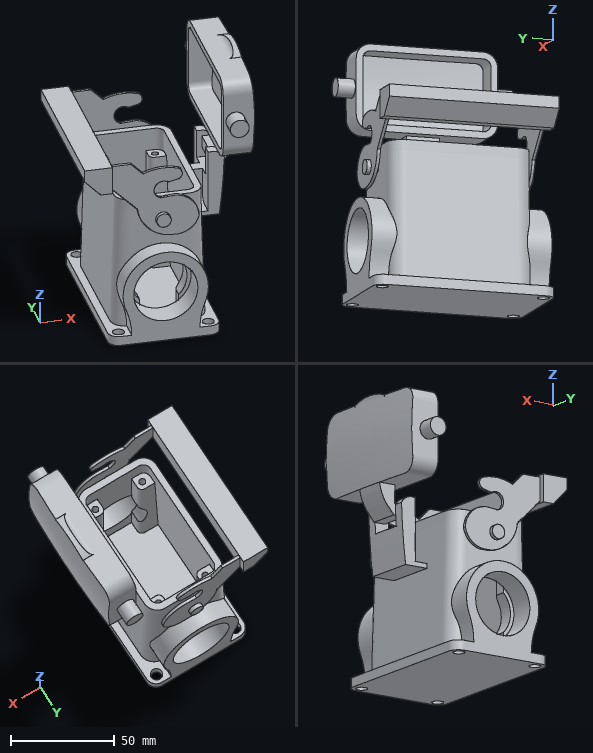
import cadquery as cq
import math

plate_x = 55.7
plate_y = 92.5
plate_height = 5.0
plate_corner = 5.4
mount_hole_dia = 5.8
mount_hole_x = 22.5
mount_hole_y = 41.3

shell_y = 72.7
shell_top_x = 43.5
shell_foot_x = 47.4
shell_corner = 7.5
shell_top_z = 74.0
collar_z = 68.5
wall = 3.6
cavity_floor_z = 1.6

post_inner_x = 9.8
post_inner_y = 24.9
post_top_z = 62.3
post_edge_radius = 2.7
screw_hole_dia = 3.2
screw_hole_depth = 13.5
screw_x = 13.5
screw_y = 28.7

entry_z = 26.9
entry_radius = 21.4
entry_bore_radius = 16.0
post_bore_radius = 14.0
neck_half_width = 17.1

bracket_y = 28.0
bracket_bottom_z = 48.3
bracket_shelf_thickness = 2.4
rib_thickness = 6.2
rib_fillet = 4.0
fork_front_x = 29.2
fork_top_z = 83.0
fork_gap = 17.5
fork_bottom_x = 35.0
fork_back_bulge = (36.6, 64.0)
fork_shoulder_z = 79.3
fork_shoulder_mid = (35.4, 81.7)
fork_crest_x = 32.0

cheek_inner_y = 38.9
cheek_thickness = 1.6
handle_back_x = -26.0
handle_front_x = -40.0
handle_top_z = 96.9
handle_bottom_z = 82.6
handle_length = 87.2
pivot_z = 63.9
pivot_shaft_radius = 2.5
pivot_head_radius = 3.6
pivot_head_height = 2.2
handle_chamfer_x = -32.0
handle_chamfer_z = 90.8

arm_top_start = (handle_back_x, 95.8)
arm_top_end = (-16.0, 95.8)
finger_root = (-10.0, 89.8)
finger_back = (-0.7, 91.8)
finger_shoulder = (7.7, 90.7)
finger_tip = (9.7, 87.9)
finger_underside = (8.1, 84.9)
notch_mouth = (2.7, 83.7)
notch_floor = (-4.5, 80.0)
notch_end = (-1.1, 75.5)
lobe_top = (6.0, 76.0)
lobe_upper_side = (14.0, 72.7)
lobe_back = (18.2, 64.0)
lobe_lower_side = (14.3, 57.3)
lobe_bottom = (6.0, 54.6)
lobe_lower_front = (-5.7, 58.1)
lobe_front = (-12.4, 68.6)
arm_bottom_end = (-12.6, 70.4)
arm_bottom_start = (handle_back_x, 83.5)

cover_front_x = 31.2
cover_crown_x = 48.0
cover_y = 72.7
cover_bottom_z = 89.2
cover_top_z = 132.3
cover_corner = 7.5
cover_wall = 3.5
crown_rise_z = 1.5
crown_rise_y = 1.1
sweep_margin = 1.0
cover_pin_radius = 4.7
cover_pin_x = 37.3
cover_pin_span = 90.2
grip_top_z = 134.5
grip_front_x = 40.6
grip_crest_x = 43.9
grip_back_x = 46.5
grip_half_length = 12.5
grip_scoop_mid = (42.7, 133.1)
tongue_front_x = 37.4
tongue_bottom_z = 74.0
tongue_width = 16.8
tongue_tip_x = 38.1
tongue_bend = (42.7, 79.3)
tongue_back_mid = (45.2, 84.1)
knuckle_front_x = 31.8
knuckle_top_z = 80.0

cover_mid_z = (cover_bottom_z + cover_top_z) / 2
cover_height = cover_top_z - cover_bottom_z


def box(x0, x1, y0, y1, z0, z1):
    """Axis-aligned block between two opposite corners."""
    return cq.Workplane("XY").box(x1 - x0, y1 - y0, z1 - z0, centered=False).translate((x0, y0, z0))


def y_cylinder(x, z, radius, y0, y1):
    """Round bar along Y."""
    return cq.Workplane("XZ", origin=(0, y0, 0)).center(x, z).circle(radius).extrude(y0 - y1)


def rounded_rectangle(size_x, size_y, radius):
    return cq.Sketch().rect(size_x, size_y).vertices().fillet(radius)


def arc_radius(half_chord, rise):
    return (half_chord ** 2 + rise ** 2) / (2 * rise)


def shell_block(inset, bottom_z):
    """Housing outline moved inward by inset, from bottom_z up to the rim."""
    taper = (shell_foot_x - shell_top_x) / (collar_z - plate_height)
    half_top = shell_top_x / 2 - inset
    half_bottom = half_top + taper * (collar_z - bottom_z) / 2
    half_y = shell_y / 2 - inset
    return (
        cq.Workplane("XZ", origin=(0, half_y, 0))
        .moveTo(-half_bottom, bottom_z)
        .lineTo(half_bottom, bottom_z)
        .lineTo(half_top, collar_z)
        .lineTo(half_top, shell_top_z)
        .lineTo(-half_top, shell_top_z)
        .lineTo(-half_top, collar_z)
        .close()
        .extrude(2 * half_y)
        .edges("not(|X or |Y)").fillet(shell_corner - inset)
    )


def base_plate():
    plate = cq.Workplane("XY").placeSketch(rounded_rectangle(plate_x, plate_y, plate_corner)).extrude(plate_height)
    return (
        plate.faces(">Z").workplane()
        .rect(2 * mount_hole_x, 2 * mount_hole_y, forConstruction=True).vertices()
        .hole(mount_hole_dia)
    )


def entry_boss():
    """Round boss on a neck that flares in to the plate, running the full length of the plate."""
    fillet_z = plate_height
    rise = entry_z - fillet_z
    overhang = entry_radius - neck_half_width
    neck_fillet = (rise ** 2 + neck_half_width ** 2 - entry_radius ** 2) / (2 * overhang)
    fillet_x = neck_half_width + neck_fillet
    reach = entry_radius + neck_fillet
    share = entry_radius / reach
    touch_x = fillet_x * share
    touch_z = entry_z + (fillet_z - entry_z) * share
    half_angle = math.atan2(touch_z - fillet_z, fillet_x - touch_x) / 2
    mid_x = fillet_x - neck_fillet * math.cos(half_angle)
    mid_z = fillet_z + neck_fillet * math.sin(half_angle)
    return (
        cq.Workplane("XZ", origin=(0, plate_y / 2, 0))
        .moveTo(-neck_half_width, 0)
        .lineTo(-neck_half_width, fillet_z)
        .threePointArc((-mid_x, mid_z), (-touch_x, touch_z))
        .threePointArc((0, entry_z + entry_radius), (touch_x, touch_z))
        .threePointArc((mid_x, mid_z), (neck_half_width, fillet_z))
        .lineTo(neck_half_width, 0)
        .close()
        .extrude(plate_y)
    )


def screw_posts(cavity):
    """Four screw posts filling the cavity corners."""
    blank = box(
        post_inner_x, shell_foot_x / 2, post_inner_y, shell_y / 2, cavity_floor_z, post_top_z
    ).edges("|Z and <X and <Y").fillet(post_edge_radius)
    hole = (
        cq.Workplane("XY", origin=(screw_x, screw_y, post_top_z))
        .circle(screw_hole_dia / 2).extrude(-screw_hole_depth)
    )
    corner = blank.cut(hole)
    pair = corner.union(corner.mirror("YZ"))
    posts = pair.union(pair.mirror("XZ")).intersect(cavity)
    return posts.cut(y_cylinder(0, entry_z, post_bore_radius, -plate_y / 2, plate_y / 2))


def hinge_bracket():
    """Shelf with a filleted centre rib, carrying a fork for the cover hinge."""
    shelf_top_z = bracket_bottom_z + bracket_shelf_thickness
    half_rib = rib_thickness / 2
    fillet_end = half_rib + rib_fillet
    fillet_top_z = shelf_top_z + rib_fillet
    bend = rib_fillet * (1 - math.sqrt(0.5))
    arm = (
        cq.Workplane("YZ")
        .moveTo(-bracket_y / 2, bracket_bottom_z)
        .lineTo(bracket_y / 2, bracket_bottom_z)
        .lineTo(bracket_y / 2, shelf_top_z)
        .lineTo(fillet_end, shelf_top_z)
        .threePointArc((half_rib + bend, shelf_top_z + bend), (half_rib, fillet_top_z))
        .lineTo(half_rib, collar_z)
        .lineTo(-half_rib, collar_z)
        .lineTo(-half_rib, fillet_top_z)
        .threePointArc((-half_rib - bend, shelf_top_z + bend), (-fillet_end, shelf_top_z))
        .lineTo(-bracket_y / 2, shelf_top_z)
        .close()
        .extrude(fork_front_x)
    )
    fork = (
        cq.Workplane("XZ", origin=(0, bracket_y / 2, 0))
        .moveTo(fork_front_x, bracket_bottom_z)
        .lineTo(fork_bottom_x, bracket_bottom_z)
        .threePointArc(fork_back_bulge, (tongue_front_x, fork_shoulder_z))
        .threePointArc(fork_shoulder_mid, (fork_crest_x, fork_top_z))
        .lineTo(fork_front_x, fork_top_z)
        .close()
        .extrude(bracket_y)
    )
    gap = box(fork_front_x, tongue_front_x, -fork_gap / 2, fork_gap / 2, collar_z, fork_top_z)
    return arm.union(fork.cut(gap))


def lever_cheek():
    """Side plate of the lever on the +Y side, with its hooked notch."""
    return (
        cq.Workplane("XZ", origin=(0, cheek_inner_y + cheek_thickness, 0))
        .moveTo(*arm_top_start)
        .lineTo(*arm_top_end)
        .lineTo(*finger_root)
        .threePointArc(finger_back, finger_shoulder)
        .threePointArc(finger_tip, finger_underside)
        .lineTo(*notch_mouth)
        .threePointArc(notch_floor, notch_end)
        .lineTo(*lobe_top)
        .threePointArc(lobe_upper_side, lobe_back)
        .threePointArc(lobe_lower_side, lobe_bottom)
        .threePointArc(lobe_lower_front, lobe_front)
        .lineTo(*arm_bottom_end)
        .lineTo(*arm_bottom_start)
        .close()
        .extrude(cheek_thickness)
    )


def lever_handle():
    return (
        cq.Workplane("XZ", origin=(0, handle_length / 2, 0))
        .moveTo(handle_front_x, handle_top_z)
        .lineTo(handle_back_x, handle_top_z)
        .lineTo(handle_back_x, handle_bottom_z)
        .lineTo(handle_chamfer_x, handle_bottom_z)
        .lineTo(handle_front_x, handle_chamfer_z)
        .close()
        .extrude(handle_length)
    )


def lever():
    """Handle bar, two cheeks and the pivots that hold them to the housing."""
    cheek_outer_y = cheek_inner_y + cheek_thickness
    shaft = y_cylinder(0, pivot_z, pivot_shaft_radius, shell_y / 2 - wall / 2, cheek_outer_y)
    head = y_cylinder(0, pivot_z, pivot_head_radius, cheek_outer_y, cheek_outer_y + pivot_head_height)
    side = lever_cheek().union(shaft).union(head)
    return lever_handle().union(side).union(side.mirror("XZ"))


def make_base():
    cavity = shell_block(wall, cavity_floor_z)
    bore = y_cylinder(0, entry_z, entry_bore_radius, -plate_y / 2, plate_y / 2)
    outside = base_plate().union(shell_block(0, plate_height)).union(entry_boss()).union(hinge_bracket())
    return outside.cut(cavity).cut(bore).union(screw_posts(cavity)).union(lever())


def crowned_block(inset):
    """Cover outline moved inward by inset on every side but the front, with a doubly curved back."""
    crown_x = cover_crown_x - inset
    edge_x = crown_x - crown_rise_z
    blank_front_x = cover_front_x - 2 * crown_rise_y
    axis_x = cover_crown_x - arc_radius(cover_y / 2, crown_rise_y)
    half_sweep = math.degrees(math.asin(cover_y / 2 / (blank_front_x - axis_x))) + sweep_margin
    sweep = (
        cq.Workplane("XZ")
        .moveTo(blank_front_x, cover_bottom_z)
        .lineTo(edge_x, cover_bottom_z)
        .threePointArc((crown_x, cover_mid_z), (edge_x, cover_top_z))
        .lineTo(blank_front_x, cover_top_z)
        .close()
        .revolve(2 * half_sweep, (axis_x, 0, 0), (axis_x, 1, 0))
        .rotate((axis_x, 0, 0), (axis_x, 0, 1), -half_sweep)
    )
    outline = rounded_rectangle(cover_y - 2 * inset, cover_height - 2 * inset, cover_corner - inset)
    prism = (
        cq.Workplane("YZ", origin=(cover_front_x, 0, cover_mid_z)).placeSketch(outline)
        .extrude(cover_crown_x - cover_front_x)
    )
    return prism.intersect(sweep)


def thumb_grip():
    """Scooped lip on the top edge, arched along Y."""
    rise = grip_top_z - cover_top_z
    radius = arc_radius(grip_half_length, rise)
    scoop = (
        cq.Workplane("XZ", origin=(0, grip_half_length, 0))
        .moveTo(grip_front_x, cover_top_z - cover_wall / 2)
        .lineTo(grip_front_x, cover_top_z)
        .threePointArc(grip_scoop_mid, (grip_crest_x, grip_top_z))
        .lineTo(grip_back_x, grip_top_z)
        .lineTo(grip_back_x, cover_top_z - cover_wall / 2)
        .close()
        .extrude(2 * grip_half_length)
    )
    arch = (
        cq.Workplane("YZ", origin=(grip_front_x, 0, grip_top_z - radius))
        .circle(radius).extrude(grip_back_x - grip_front_x)
    )
    return scoop.intersect(arch)


def hinge_tongue():
    """Curved tongue below the cover with the knuckle that sits in the fork."""
    tongue = (
        cq.Workplane("XZ", origin=(0, tongue_width / 2, 0))
        .moveTo(tongue_front_x, tongue_bottom_z)
        .lineTo(tongue_tip_x, tongue_bottom_z)
        .lineTo(*tongue_bend)
        .threePointArc(tongue_back_mid, (grip_back_x, cover_bottom_z))
        .lineTo(tongue_front_x, cover_bottom_z)
        .close()
        .extrude(tongue_width)
    )
    half = tongue_width / 2
    return tongue.union(box(knuckle_front_x, tongue_front_x, -half, half, tongue_bottom_z, knuckle_top_z))


def make_cover():
    pins = y_cylinder(cover_pin_x, cover_mid_z, cover_pin_radius, -cover_pin_span / 2, cover_pin_span / 2)
    outside = crowned_block(0).union(pins).union(thumb_grip())
    return outside.cut(crowned_block(cover_wall)).union(hinge_tongue())


base = make_base()
cover = make_cover()

result = cq.Compound.makeCompound([base.val(), cover.val()])